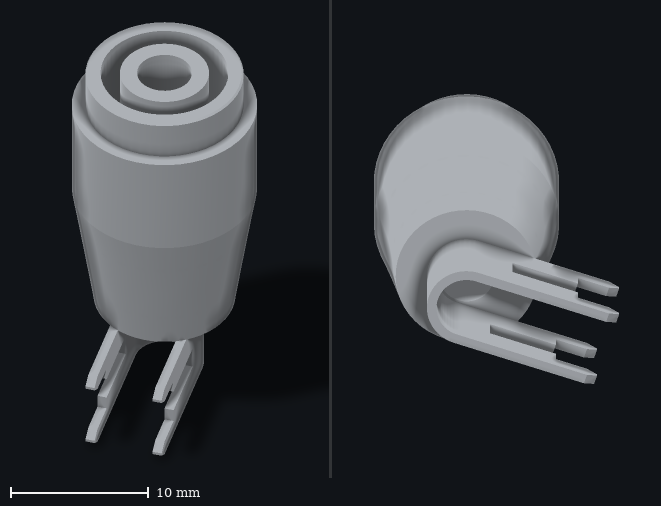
import cadquery as cq

total_height = 27.7
terminal_height = 6.3
taper_top = 16.68
collar_top = 24.65

collar_diameter = 13.5
collar_radius = collar_diameter / 2
taper_bottom_radius = 5.15
neck_radius = 5.75
groove_outer_radius = 4.65
post_radius = 3.25
bore_radius = 2.0
rim_chamfer = 0.15

sleeve_outer_radius = 2.88
sheet_thickness = 0.7
sleeve_inner_radius = sleeve_outer_radius - sheet_thickness
tip_reach = 10.75
step_reach = 7.6
slot_start = 2.55
slot_height = 1.77
finger_height = 1.22
tip_length = 0.78
tip_chamfer_height = 0.5


def make_housing():
    """Tapered round body with a ring groove around a bored centre post."""
    body = (
        cq.Workplane("XZ")
        .moveTo(0, terminal_height)
        .lineTo(taper_bottom_radius, terminal_height)
        .lineTo(collar_radius, taper_top)
        .lineTo(collar_radius, collar_top)
        .lineTo(neck_radius, collar_top)
        .lineTo(neck_radius, total_height)
        .lineTo(0, total_height)
        .close()
        .revolve(360, (0, 0), (0, 1))
        .faces(">Z")
        .edges()
        .chamfer(rim_chamfer)
    )
    groove = (
        cq.Workplane("XY", origin=(0, 0, taper_top))
        .circle(groove_outer_radius)
        .circle(post_radius)
        .extrude(total_height - taper_top)
    )
    bore = (
        cq.Workplane("XY", origin=(0, 0, terminal_height))
        .circle(bore_radius)
        .extrude(total_height - terminal_height)
    )
    return body.cut(groove).cut(bore)


def make_fork_profile():
    """Side outline of the terminal, extruded across its full width."""
    slot_bottom = (terminal_height - slot_height) / 2
    slot_top = slot_bottom + slot_height
    upper_finger_bottom = terminal_height - finger_height
    shoulder_reach = tip_reach - tip_length
    outline = [
        (sleeve_outer_radius, 0),
        (-shoulder_reach, 0),
        (-tip_reach, tip_chamfer_height),
        (-tip_reach, finger_height - tip_chamfer_height),
        (-shoulder_reach, finger_height),
        (-step_reach, finger_height),
        (-step_reach, slot_bottom),
        (-slot_start, slot_bottom),
        (-slot_start, slot_top),
        (-step_reach, slot_top),
        (-step_reach, upper_finger_bottom),
        (-shoulder_reach, upper_finger_bottom),
        (-tip_reach, upper_finger_bottom + tip_chamfer_height),
        (-tip_reach, terminal_height - tip_chamfer_height),
        (-shoulder_reach, terminal_height),
        (sleeve_outer_radius, terminal_height),
    ]
    return cq.Workplane("YZ").polyline(outline).close().extrude(sleeve_outer_radius, both=True)


def make_terminal():
    """U-shaped bent sheet, open toward -Y, with two pointed pins on each side plate."""
    bent_sheet = (
        cq.Workplane("XY")
        .moveTo(-sleeve_outer_radius, -tip_reach)
        .lineTo(-sleeve_outer_radius, 0)
        .threePointArc((0, sleeve_outer_radius), (sleeve_outer_radius, 0))
        .lineTo(sleeve_outer_radius, -tip_reach)
        .lineTo(sleeve_inner_radius, -tip_reach)
        .lineTo(sleeve_inner_radius, 0)
        .threePointArc((0, sleeve_inner_radius), (-sleeve_inner_radius, 0))
        .lineTo(-sleeve_inner_radius, -tip_reach)
        .close()
        .extrude(terminal_height)
    )
    return bent_sheet.intersect(make_fork_profile())


housing = make_housing()
terminal = make_terminal()
result = cq.Compound.makeCompound([housing.solids().val(), terminal.solids().val()])